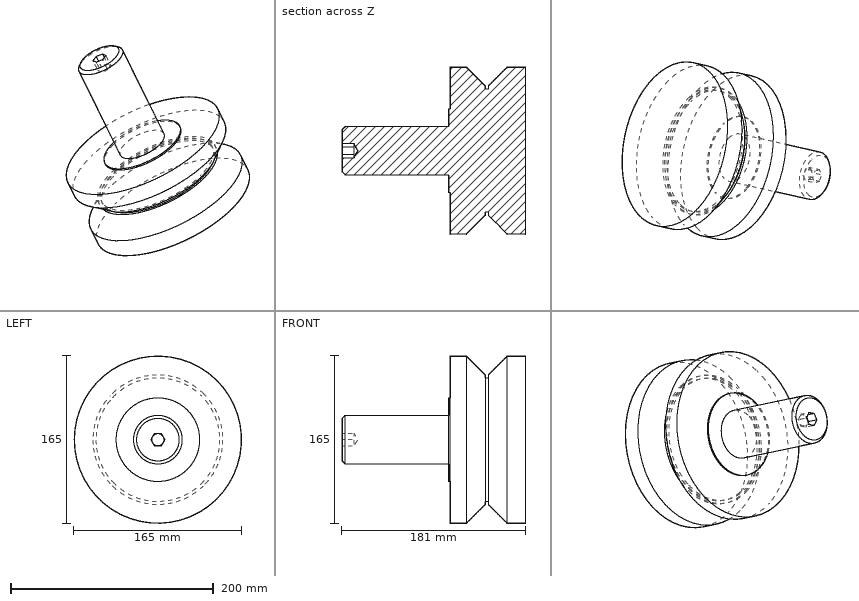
import cadquery as cq
import math


shaft_length = 105.0
shaft_diameter = 48.0
shaft_chamfer = 3.0

collar_length = 1.5
collar_diameter = 82.5

wheel_diameter = 165.0
near_rim_width = 16.25
far_rim_width = 18.25
vee_depth = 18.5
vee_flank_angle = 45.0
relief_width = 3.0
relief_diameter = 122.0

socket_sides = 6
socket_across_flats = 12.0
socket_depth = 12.0
drill_point_angle = 120.0

vee_flank_width = vee_depth * math.tan(math.radians(vee_flank_angle))
wheel_start = shaft_length + collar_length
vee_start = wheel_start + near_rim_width
relief_start = vee_start + vee_flank_width
relief_end = relief_start + relief_width
vee_end = relief_end + vee_flank_width
wheel_end = vee_end + far_rim_width


def make_shaft():
    """Round shaft with a chamfered free end."""
    shaft = cq.Workplane("YZ").circle(shaft_diameter / 2).extrude(shaft_length)
    return shaft.faces("<X").chamfer(shaft_chamfer)


def make_collar():
    """Thin disc standing proud of the wheel face."""
    collar = cq.Workplane("YZ", origin=(shaft_length, 0, 0))
    return collar.circle(collar_diameter / 2).extrude(collar_length)


def make_wheel():
    """Wheel with a vee groove and a narrow relief slot at its root."""
    rim_radius = wheel_diameter / 2
    root_radius = rim_radius - vee_depth
    relief_radius = relief_diameter / 2
    half_section = (
        cq.Workplane("XY")
        .moveTo(wheel_start, 0)
        .lineTo(wheel_start, rim_radius)
        .lineTo(vee_start, rim_radius)
        .lineTo(relief_start, root_radius)
        .lineTo(relief_start, relief_radius)
        .lineTo(relief_end, relief_radius)
        .lineTo(relief_end, root_radius)
        .lineTo(vee_end, rim_radius)
        .lineTo(wheel_end, rim_radius)
        .lineTo(wheel_end, 0)
        .close()
    )
    return half_section.revolve(360, (0, 0, 0), (1, 0, 0))


def make_socket():
    """Hexagonal socket, corners on the Y axis, ending in a conical drill point."""
    across_corners = socket_across_flats / math.cos(math.pi / socket_sides)
    hexagon = cq.Workplane("YZ").polygon(socket_sides, across_corners).extrude(socket_depth)
    cone_radius = socket_across_flats / 2
    cone_length = cone_radius / math.tan(math.radians(drill_point_angle / 2))
    cone = (
        cq.Workplane("XY")
        .moveTo(socket_depth, 0)
        .lineTo(socket_depth, cone_radius)
        .lineTo(socket_depth + cone_length, 0)
        .close()
        .revolve(360, (0, 0, 0), (1, 0, 0))
    )
    return hexagon.union(cone)


result = make_shaft().union(make_collar()).union(make_wheel()).cut(make_socket())